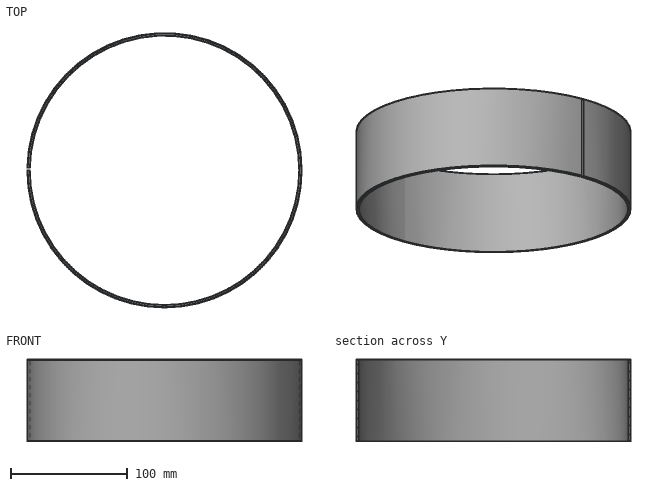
import cadquery as cq

outer_diameter = 235.0
wall_thickness = 2.4
height = 70.0
rim_chamfer = 0.5
slit_width = 2.0

outer_radius = outer_diameter / 2
inner_radius = outer_radius - wall_thickness

band = cq.Workplane("XY").circle(outer_radius).extrude(height)
band = band.faces("<Z or >Z").edges().chamfer(rim_chamfer)
bore = cq.Workplane("XY").circle(inner_radius).extrude(height)
band = band.cut(bore)

slit = cq.Workplane("XY").box(outer_radius, slit_width, height, centered=False)
slit = slit.translate((-outer_radius, 0, 0))

result = band.cut(slit)